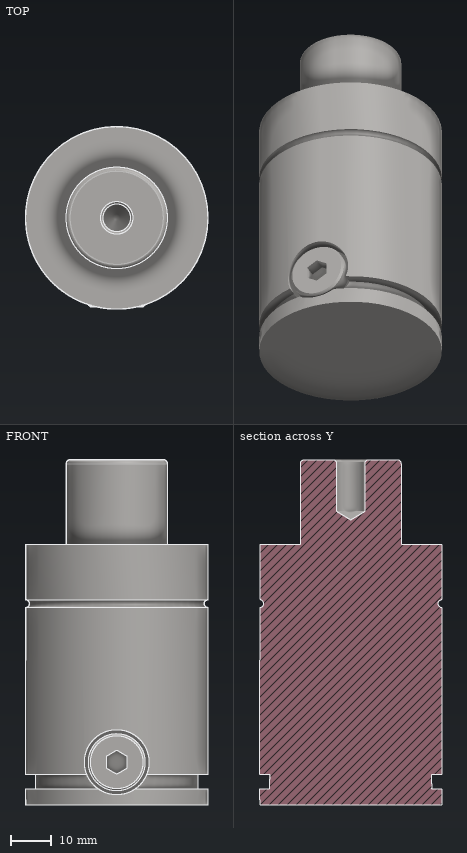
import cadquery as cq
import math

total_height = 85.0
body_diameter = 45.0
body_radius = body_diameter / 2
body_top = 64.2

rod_diameter = 25.0
rod_edge_radius = 1.0

hole_diameter = 6.8
hole_mouth_diameter = 8.0
hole_depth = 12.75
drill_point_angle = 118.0

ring_groove_radius = 0.9
ring_groove_height = 49.55

clamp_groove_diameter = 40.0
clamp_groove_bottom = 4.0
clamp_groove_top = 7.5

port_height = 10.5
port_diameter = 16.0
port_floor_y = -18.0
plug_diameter = 14.0
plug_face_y = -21.9
plug_chamfer = 0.5
socket_flats = 5.1
socket_depth = 3.4


def make_body_and_rod():
    body = cq.Workplane("XY").circle(body_radius).extrude(body_top)
    rod = (
        cq.Workplane("XY", origin=(0, 0, body_top))
        .circle(rod_diameter / 2)
        .extrude(total_height - body_top)
        .faces(">Z")
        .edges()
        .fillet(rod_edge_radius)
    )
    return body.union(rod)


def make_ring_groove():
    return (
        cq.Workplane("XZ")
        .center(body_radius, ring_groove_height)
        .circle(ring_groove_radius)
        .revolve(360, (-body_radius, 0), (-body_radius, 1))
    )


def make_clamp_groove():
    return (
        cq.Workplane("XY", origin=(0, 0, clamp_groove_bottom))
        .circle(body_radius)
        .circle(clamp_groove_diameter / 2)
        .extrude(clamp_groove_top - clamp_groove_bottom)
    )


def make_rod_hole():
    """Revolved hole with a 45 degree mouth and a conical drill point."""
    hole_radius = hole_diameter / 2
    mouth_radius = hole_mouth_diameter / 2
    mouth_depth = mouth_radius - hole_radius
    floor_height = total_height - hole_depth
    point_length = hole_radius / math.tan(math.radians(drill_point_angle / 2))
    return (
        cq.Workplane("XZ")
        .moveTo(0, total_height)
        .lineTo(mouth_radius, total_height)
        .lineTo(hole_radius, total_height - mouth_depth)
        .lineTo(hole_radius, floor_height)
        .lineTo(0, floor_height - point_length)
        .close()
        .revolve(360, (0, 0), (0, 1))
    )


def port_plane(y):
    """Plane across the port axis, with its normal pointing out along -Y."""
    return cq.Workplane("XZ", origin=(0, y, port_height))


def make_port():
    return port_plane(port_floor_y).circle(port_diameter / 2).extrude(body_radius + port_floor_y)


def make_plug():
    plug = (
        port_plane(port_floor_y)
        .circle(plug_diameter / 2)
        .extrude(port_floor_y - plug_face_y)
        .faces("<Y")
        .edges()
        .chamfer(plug_chamfer)
    )
    socket_corners = socket_flats / math.cos(math.radians(30))
    socket = (
        port_plane(plug_face_y)
        .transformed(rotate=(0, 0, 90))
        .polygon(6, socket_corners)
        .extrude(-socket_depth)
    )
    return plug.cut(socket)


result = (
    make_body_and_rod()
    .cut(make_ring_groove())
    .cut(make_clamp_groove())
    .cut(make_rod_hole())
    .cut(make_port())
    .union(make_plug())
)